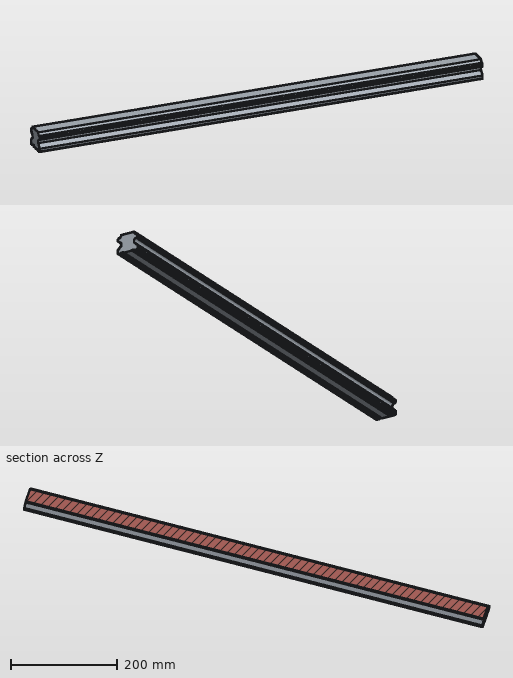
import cadquery as cq

length = 900.0
width = 45.0

half_width = width / 2
neck_half_width = 14.0
foot_chamfer = 2.0
head_chamfer = 3.15
shoulder_half_width = half_width - head_chamfer

foot_height = 7.65
neck_bottom = foot_height + half_width - neck_half_width
neck_top = 20.0
groove_rise = 4.5
head_side_height = 2.0
top_wall_height = 1.0
head_bottom = neck_top + groove_rise
head_side_bottom = head_bottom + head_chamfer
head_side_top = head_side_bottom + head_side_height
head_shoulder = head_side_top + head_chamfer
top_wall_bottom = head_shoulder + groove_rise
height = top_wall_bottom + top_wall_height

groove_sag = 1.1

channel_inner = 10.0
channel_outer = 14.0
channel_depth = 1.35


def build_half_section():
    """Right half of the section, closed along the vertical middle line."""
    return (
        cq.Workplane("XZ", origin=(0, 0, -height / 2))
        .lineTo(channel_inner, 0)
        .lineTo(channel_inner, channel_depth)
        .lineTo(channel_outer, channel_depth)
        .lineTo(channel_outer, 0)
        .lineTo(half_width - foot_chamfer, 0)
        .lineTo(half_width, foot_chamfer)
        .lineTo(half_width, foot_height)
        .lineTo(neck_half_width, neck_bottom)
        .lineTo(neck_half_width, neck_top)
        .sagittaArc((shoulder_half_width, head_bottom), groove_sag)
        .lineTo(half_width, head_side_bottom)
        .lineTo(half_width, head_side_top)
        .lineTo(shoulder_half_width, head_shoulder)
        .sagittaArc((neck_half_width, top_wall_bottom), groove_sag)
        .lineTo(neck_half_width, height)
        .lineTo(0, height)
        .close()
    )


rail_half = build_half_section().extrude(length / 2, both=True)
result = rail_half.union(rail_half.mirror("YZ")).clean()